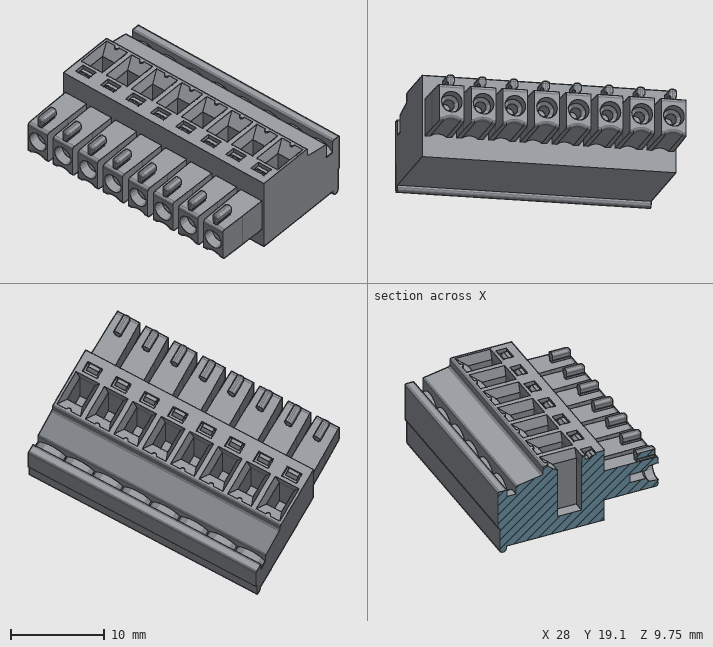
import cadquery as cq


pole_count = 8
width = 28
pitch = width / pole_count
housing_depth = 12.68
housing_bottom = 0.67
housing_top = 9.75
back_step_z = 3.35
back_step = 0.2
lip_thickness = 0.85
back_wall_top = 7.98
back_wall_thickness = 1.12
groove_width = 1.0
groove_floor_z = 6.27
shelf_back_z = 8.15
shelf_front_z = 8.7
upper_back_y = 7.35
edge_radius = 0.2
shelf_foot_radius = 0.28

hump_height = 0.9
hump_half_width = 1.68

pit_width = 2.9
pit_front_y = 2.65
pit_back_y = 6.9
shaft_width = 1.85
shaft_front_y = 2.75
shaft_back_y = 5.57
funnel_depth = 1.0
shaft_floor_z = 2.8
boss_radius = 0.28

slot_width = 1.8
slot_front_y = 1.05
slot_back_y = 2.27
slot_depth = 0.5
latch_width = 1.32
latch_back_y = 1.85
latch_ridge_y = 1.45
latch_height = 0.25

plug_length = 6.4
plug_bottom = 3.0
plug_top = 7.08
plug_base_width = 2.95
plug_seam_width = 2.85
plug_tip_width = 2.72
plug_seam_y = -3.15
plug_tip_radius = 0.35
socket_z = 5.15
socket_diameter = 1.2
socket_depth = 3.35
entry_diameter = 2.27
throat_diameter = 2.05
entry_depth = 1.12
cone_depth = 1.45
relief_diameter = 3.0
relief_height = 0.3

key_top = 8.3
key_width = 0.87
key_radius = 0.35
key_undercut_z = 7.53
key_neck_z = 7.35
key_neck_width = 0.53
key_back_y = -3.85
key_front_y = -6.1

pole_centers = [(i + 0.5) * pitch for i in range(pole_count)]


def box(x0, x1, y0, y1, z0, z1):
    """Axis-aligned box between two corners."""
    return cq.Workplane("XY").box(x1 - x0, y1 - y0, z1 - z0, centered=False).translate((x0, y0, z0))


def make_housing():
    """Side profile of the housing swept across the full width."""
    lip_back_y = housing_depth - back_step
    lip_front_y = lip_back_y - lip_thickness
    lip_radius = lip_thickness / 2
    groove_back_y = housing_depth - back_wall_thickness
    groove_front_y = groove_back_y - groove_width
    profile = (
        cq.Workplane("YZ")
        .moveTo(0, housing_bottom)
        .lineTo(lip_front_y, housing_bottom)
        .lineTo(lip_front_y, lip_radius)
        .threePointArc((lip_back_y - lip_radius, 0), (lip_back_y, lip_radius))
        .lineTo(lip_back_y, back_step_z - back_step)
        .lineTo(housing_depth, back_step_z)
        .lineTo(housing_depth, back_wall_top)
        .lineTo(groove_back_y, back_wall_top)
        .lineTo(groove_back_y, groove_floor_z)
        .lineTo(groove_front_y, groove_floor_z)
        .lineTo(groove_front_y, shelf_back_z)
        .lineTo(upper_back_y, shelf_front_z)
        .lineTo(upper_back_y, housing_top)
        .lineTo(0, housing_top)
        .close()
    )
    housing = profile.extrude(width)
    rounded_edges = [
        (housing_depth, back_wall_top, edge_radius),
        (groove_back_y, back_wall_top, edge_radius),
        (groove_front_y, shelf_back_z, edge_radius),
        (upper_back_y, shelf_front_z, shelf_foot_radius),
        (upper_back_y, housing_top, edge_radius),
    ]
    for y, z, radius in rounded_edges:
        housing = housing.edges(cq.NearestToPointSelector((width / 2, y, z))).fillet(radius)
    return housing


def make_hump(x):
    """Cylindrical hump on the groove floor."""
    groove_back_y = housing_depth - back_wall_thickness
    return (
        cq.Workplane("XZ", origin=(x, groove_back_y, groove_floor_z))
        .moveTo(-hump_half_width, 0)
        .threePointArc((0, hump_height), (hump_half_width, 0))
        .close()
        .extrude(groove_width)
    )


def make_pit(x):
    """Funnel with a sloped back and sides and a nearly upright front, running into a shaft."""
    funnel_floor_z = housing_top - funnel_depth
    pit_length = pit_back_y - pit_front_y
    shaft_length = shaft_back_y - shaft_front_y
    pit_middle_y = (pit_front_y + pit_back_y) / 2
    shaft_middle_y = (shaft_front_y + shaft_back_y) / 2
    funnel = (
        cq.Workplane("XY", origin=(x, pit_middle_y, housing_top))
        .rect(pit_width, pit_length)
        .workplane(offset=-funnel_depth)
        .center(0, shaft_middle_y - pit_middle_y)
        .rect(shaft_width, shaft_length)
        .loft(ruled=True)
    )
    boss = (
        cq.Workplane("XY", origin=(x, pit_back_y, funnel_floor_z))
        .circle(boss_radius)
        .extrude(funnel_depth)
    )
    half_shaft = shaft_width / 2
    shaft = box(x - half_shaft, x + half_shaft, shaft_front_y, shaft_back_y, shaft_floor_z, funnel_floor_z)
    return funnel.cut(boss).union(shaft)


def make_slot(x):
    """Shallow slot with a latch ramp left standing inside it."""
    floor_z = housing_top - slot_depth
    half_slot = slot_width / 2
    slot = box(x - half_slot, x + half_slot, slot_front_y, slot_back_y, floor_z, housing_top)
    latch = (
        cq.Workplane("YZ", origin=(x - latch_width / 2, 0, floor_z))
        .moveTo(slot_front_y, 0)
        .lineTo(latch_back_y, 0)
        .lineTo(latch_ridge_y, latch_height)
        .lineTo(slot_front_y, latch_height)
        .close()
        .extrude(latch_width)
    )
    return slot.cut(latch)


def make_plug(x):
    """Tapered plug with a stepped conical socket and a round relief underneath."""
    outline = [
        (plug_base_width / 2, 0),
        (plug_seam_width / 2, plug_seam_y),
        (plug_tip_width / 2, -plug_length),
    ]
    mirrored = [(-half_width, y) for half_width, y in reversed(outline)]
    plug = (
        cq.Workplane("XY", origin=(x, 0, plug_bottom))
        .polyline(outline + mirrored)
        .close()
        .extrude(plug_top - plug_bottom)
    )
    socket = (
        cq.Workplane("XY", origin=(x, -plug_length, socket_z))
        .lineTo(entry_diameter / 2, 0)
        .lineTo(throat_diameter / 2, entry_depth)
        .lineTo(socket_diameter / 2, cone_depth)
        .lineTo(socket_diameter / 2, socket_depth)
        .lineTo(0, socket_depth)
        .close()
        .revolve(360, (0, 0, 0), (0, 1, 0))
    )
    relief = (
        cq.Workplane("XZ", origin=(x, 0, plug_bottom + relief_height - relief_diameter / 2))
        .circle(relief_diameter / 2)
        .extrude(plug_length)
    )
    plug = plug.cut(relief)
    plug = plug.faces("<Y").edges("%CIRCLE or |X").fillet(plug_tip_radius)
    return plug.cut(socket)


def make_key(x):
    """Coding key: round-topped, undercut section with a rounded nose."""
    half_width = key_width / 2
    half_neck = key_neck_width / 2
    key_length = key_back_y - key_front_y
    section = (
        cq.Workplane("XZ", origin=(x, key_back_y, 0))
        .moveTo(-half_neck, plug_top)
        .lineTo(half_neck, plug_top)
        .lineTo(half_neck, key_neck_z)
        .lineTo(half_width, key_undercut_z)
        .lineTo(half_width, key_top)
        .lineTo(-half_width, key_top)
        .lineTo(-half_width, key_undercut_z)
        .lineTo(-half_neck, key_neck_z)
        .close()
        .extrude(key_length)
    )
    rounded_block = (
        box(x - half_width, x + half_width, key_front_y, key_back_y, plug_top, key_top)
        .edges("(|Z and <Y) or (>Z and (not >Y))")
        .fillet(key_radius)
    )
    return section.intersect(rounded_block)


result = make_housing()
for center in pole_centers:
    result = result.union(make_hump(center)).union(make_plug(center)).union(make_key(center))
    result = result.cut(make_pit(center)).cut(make_slot(center))